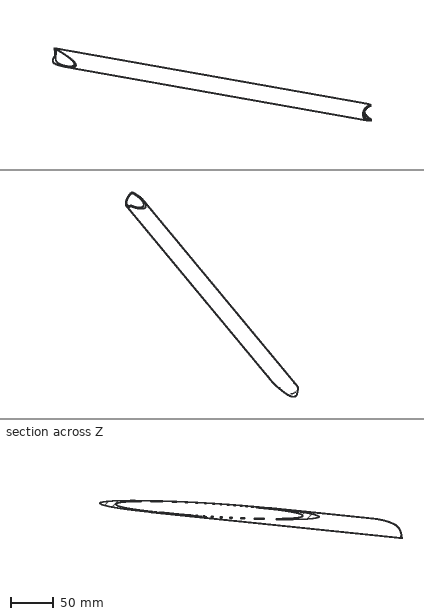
import cadquery as cq

tube_diameter = 20.0
wall = 1.5
slope_y = 0.52
slope_z = 0.086
saddle_reach_x = 406.0
saddle_radius = 12.0
saddle_slope = 0.05
saddle_raise = 1.2
tip_drop = 2.5
tip_depth_x = 402.5
overrun = 60.5
cutter_size = 161.7

axis_direction = cq.Vector(1, slope_y, slope_z)


def point_on_axis(x):
    return axis_direction * x


def long_tube():
    """Straight hollow tube, longer than needed at both ends."""
    start = point_on_axis(-saddle_reach_x - overrun)
    length = (point_on_axis(overrun) - start).Length
    section = cq.Workplane(cq.Plane(origin=start, xDir=(0, 0, 1), normal=axis_direction))
    outer_radius = tube_diameter / 2
    return section.circle(outer_radius).circle(outer_radius - wall).extrude(length)


def far_end_cutter(normal):
    """Block on the outer side of a plane through the far end of the axis."""
    plane = cq.Plane(origin=(0, 0, 0), xDir=normal.cross(axis_direction), normal=normal)
    return cq.Workplane(plane).rect(cutter_size, cutter_size).extrude(cutter_size)


def saddle_cutter(center, axis, across):
    """Cylinder that shapes a saddle, running along the given axis."""
    plane = cq.Plane(origin=center, xDir=across, normal=axis)
    return cq.Workplane(plane).circle(saddle_radius).extrude(cutter_size / 2, both=True)


tube = long_tube()
tube = tube.cut(far_end_cutter(cq.Vector(0, 1, 0)))
tube = tube.cut(far_end_cutter(cq.Vector(1, 0, slope_z)))

front_center = point_on_axis(-saddle_reach_x) + cq.Vector(0, 0, saddle_raise)
tube = tube.cut(saddle_cutter(front_center, (1, saddle_slope, 0), (saddle_slope, -1, 0)))

tip_center = point_on_axis(-tip_depth_x) - cq.Vector(saddle_radius, 0, tip_drop)
tube = tube.cut(saddle_cutter(tip_center, (0, 1, 0), (-1, 0, 0)))

result = cq.Workplane(tube.solids(">X").val())